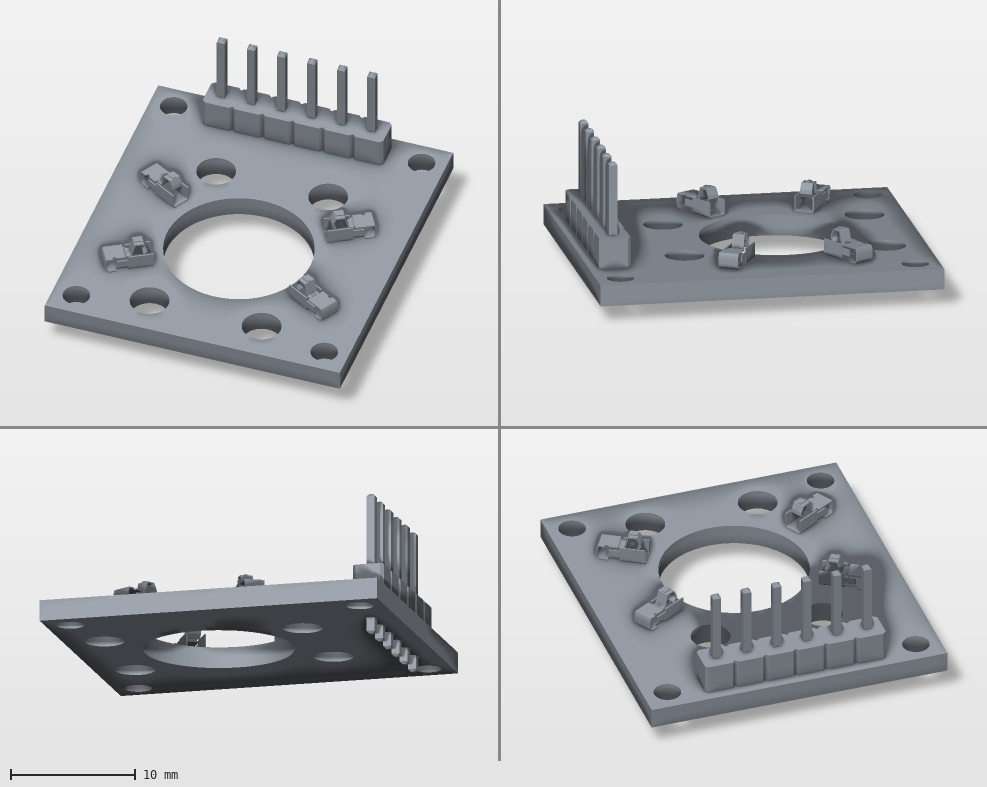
import cadquery as cq
import math


BOARD_X = 25.0
BOARD_Y = 28.0
BOARD_THICKNESS = 1.7
CORNER_HOLE_DIAMETER = 2.2
CORNER_HOLE_X = 10.5
CORNER_HOLE_Y = 12.0
RING_CENTER_Y = -2.5
OPENING_DIAMETER = 12.15
RING_HOLE_DIAMETER = 3.2
RING_HOLE_RADIUS = 9.5
RING_HOLE_ANGLES = (60, 120, 240, 300)

PIN_COUNT = 6
PITCH = 2.55
HEADER_HEIGHT = 2.5
HEADER_CORNER = 0.25
ROW_Y = 11.9
PIN_SIDE = 0.67
PIN_TOP = 8.55
PIN_BOTTOM = -3.0
PIN_TIP = 0.2
PIN_HOLE_DIAMETER = 1.0

CONTACT_ANGLES = (30, 150, 210, 330)
CONTACT_INNER_RADIUS = 7.08
CONTACT_LENGTH = 4.03
CONTACT_WIDTH = 1.65
SHEET = 0.1
CONTACT_HEIGHT = 1.35
WALL_LENGTH = 2.1
WALL_BEND = 0.22
ARM_END = 3.02
ARM_BOTTOM = 0.48
ARM_TOP = 1.05
FOLD_LOWER_RADIUS = 0.45
FLOOR_WAIST_END = 3.08
FLOOR_WAIST_INSET = 0.35
FOLD_UPPER_START = 0.78
FOLD_UPPER_RADIUS = 1.23
STRIP_END = 2.35
STRIP_INSET_END = 3.35
STRIP_INSET = 0.08
RELIEF_RADIUS = 0.17
SPRING_WIDTH = 1.0
HUMP_TOP = 2.27
HUMP_INNER = 0.78
HUMP_OUTER = 1.48
VALLEY_INNER = 1.8
VALLEY_OUTER = 2.2
VALLEY_Z = 1.15
KNEE = (0.53, 1.75)
TIP_BEND = (0.48, 1.45)
TIP_END = (0.73, 1.12)
RIB_WIDTH = 0.35
RIB_HEIGHT = 0.08


def header_x_positions():
    first = -PITCH * (PIN_COUNT - 1) / 2
    return [first + PITCH * i for i in range(PIN_COUNT)]


def make_board():
    """Rectangular board with the central opening, mounting holes and clearance holes for the pins."""
    pin_places = [(x, ROW_Y) for x in header_x_positions()]
    corner_places = [(x, y) for x in (-CORNER_HOLE_X, CORNER_HOLE_X) for y in (-CORNER_HOLE_Y, CORNER_HOLE_Y)]
    ring_places = []
    for degrees in RING_HOLE_ANGLES:
        angle = math.radians(degrees)
        x = RING_HOLE_RADIUS * math.cos(angle)
        y = RING_CENTER_Y + RING_HOLE_RADIUS * math.sin(angle)
        ring_places.append((x, y))
    board = cq.Workplane("XY").rect(BOARD_X, BOARD_Y).extrude(-BOARD_THICKNESS)
    hole_groups = (
        ([(0, RING_CENTER_Y)], OPENING_DIAMETER),
        (ring_places, RING_HOLE_DIAMETER),
        (corner_places, CORNER_HOLE_DIAMETER),
        (pin_places, PIN_HOLE_DIAMETER),
    )
    for places, diameter in hole_groups:
        board = board.cut(cq.Workplane("XY").pushPoints(places).circle(diameter / 2).extrude(-BOARD_THICKNESS))
    return board


def make_header():
    """Row of chamfered housing blocks with one square pin through each, as a single body."""
    header = None
    for x in header_x_positions():
        block = cq.Workplane("XY").center(x, ROW_Y).rect(PITCH, PITCH).extrude(HEADER_HEIGHT)
        block = block.edges("|Z").chamfer(HEADER_CORNER)
        pin = (
            cq.Workplane("XY", origin=(x, ROW_Y, PIN_BOTTOM))
            .rect(PIN_SIDE, PIN_SIDE)
            .extrude(PIN_TOP - PIN_BOTTOM)
            .faces("<Z or >Z")
            .chamfer(PIN_TIP)
        )
        cell = block.union(pin)
        header = cell if header is None else header.union(cell)
    return header


def bent_strip(center_line, width):
    """Sheet-metal strip of the given width following an open XZ centre line."""
    return center_line.offset2D(SHEET / 2).extrude(width / 2, both=True)


def make_channel():
    """Floor with two side walls; each wall carries a narrow arm."""
    channel = (
        cq.Workplane("XY")
        .box(WALL_LENGTH, CONTACT_WIDTH, CONTACT_HEIGHT, centered=(False, True, False))
        .edges("|X and <Z")
        .fillet(WALL_BEND)
        .faces(">Z or <X or >X")
        .shell(-SHEET)
    )
    for side in (-1, 1):
        arm = cq.Workplane("XY").box(
            ARM_END - WALL_LENGTH + SHEET, SHEET, ARM_TOP - ARM_BOTTOM, centered=(False, True, False)
        )
        arm = arm.translate((WALL_LENGTH - SHEET, side * (CONTACT_WIDTH - SHEET) / 2, ARM_BOTTOM))
        channel = channel.union(arm)
    return channel


def make_fold():
    """Floor extension folded up and back over itself at the outer end."""
    low = SHEET / 2
    high = CONTACT_HEIGHT - SHEET / 2
    outer = CONTACT_LENGTH - SHEET / 2
    lower_radius = FOLD_LOWER_RADIUS - SHEET / 2
    upper_radius = FOLD_UPPER_RADIUS - SHEET / 2
    sweep = math.asin((high - FOLD_UPPER_START) / upper_radius)

    def upper_arc(angle):
        return (
            outer - upper_radius * (1 - math.cos(angle)),
            FOLD_UPPER_START + upper_radius * math.sin(angle),
        )

    center_line = (
        cq.Workplane("XZ")
        .moveTo(WALL_LENGTH - SHEET, low)
        .lineTo(outer - lower_radius, low)
        .radiusArc((outer, low + lower_radius), -lower_radius)
        .lineTo(outer, FOLD_UPPER_START)
        .threePointArc(upper_arc(sweep / 2), upper_arc(sweep))
        .lineTo(STRIP_END, high)
    )
    fold = bent_strip(center_line, CONTACT_WIDTH)
    for side in (-1, 1):
        waist_cut = cq.Workplane("XY", origin=(WALL_LENGTH, side * CONTACT_WIDTH / 2, 0))
        waist_cut = waist_cut.rect(2 * (FLOOR_WAIST_END - WALL_LENGTH), 2 * FLOOR_WAIST_INSET).extrude(SHEET)
        fold = fold.cut(waist_cut)
    edge_y = CONTACT_WIDTH / 2 - STRIP_INSET
    inset_cut = cq.Workplane("XY", origin=(0, edge_y, ARM_TOP))
    inset_cut = inset_cut.rect(STRIP_INSET_END, CONTACT_WIDTH, centered=False).extrude(CONTACT_HEIGHT)
    relief = cq.Workplane("XY", origin=(STRIP_INSET_END - RELIEF_RADIUS, edge_y, ARM_TOP))
    relief = relief.circle(RELIEF_RADIUS).extrude(CONTACT_HEIGHT)
    return fold.cut(inset_cut).cut(relief)


def make_spring():
    """Narrow tongue: dips behind the strip, arches over a flat ribbed hump and ends in a curled tip."""
    strip_z = CONTACT_HEIGHT - SHEET / 2
    hump_z = HUMP_TOP - SHEET / 2
    center_line = cq.Workplane("XZ").polyline(
        [
            (STRIP_END + SHEET, strip_z),
            (STRIP_END, strip_z),
            (VALLEY_OUTER, VALLEY_Z),
            (VALLEY_INNER, VALLEY_Z),
            (HUMP_OUTER, hump_z),
            (HUMP_INNER, hump_z),
            KNEE,
            TIP_BEND,
            TIP_END,
        ]
    )
    spring = bent_strip(center_line, SPRING_WIDTH)
    rib = cq.Workplane("XY", origin=((HUMP_INNER + HUMP_OUTER) / 2, 0, hump_z))
    rib = rib.rect(HUMP_OUTER - HUMP_INNER, RIB_WIDTH).extrude(SHEET / 2 + RIB_HEIGHT)
    return spring.union(rib)


def make_contact(angle):
    """One sheet-metal contact, pointing away from the opening at the given angle."""
    contact = make_channel().union(make_fold()).union(make_spring())
    contact = contact.translate((CONTACT_INNER_RADIUS, 0, 0)).rotate((0, 0, 0), (0, 0, 1), angle)
    return contact.translate((0, RING_CENTER_Y, 0))


board = make_board()
header = make_header()
contacts = [make_contact(angle) for angle in CONTACT_ANGLES]

result = cq.Compound.makeCompound([board.val(), header.val(), *[contact.val() for contact in contacts]])